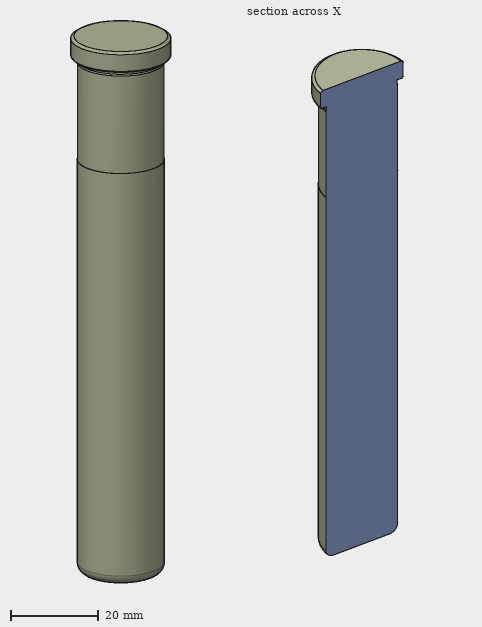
import cadquery as cq

total_length = 130.0
shank_diameter = 20.0
collar_diameter = 19.9
collar_bottom = 100.1
head_diameter = 23.0
head_height = 5.0
head_top_chamfer_height = 0.5
head_top_chamfer_inset = 0.8
head_bottom_chamfer = 0.4
neck_diameter = 19.6
neck_height = 0.9
neck_taper_height = 0.4
bottom_round = 2.3

head_bottom = total_length - head_height
collar_top = head_bottom - neck_height


def cylinder(diameter, bottom, top):
    """Round bar on the Z axis between two heights."""
    return cq.Workplane("XY").workplane(offset=bottom).circle(diameter / 2).extrude(top - bottom)


def make_shank():
    """Long cylinder with a rounded lower end."""
    return cylinder(shank_diameter, 0, collar_bottom).faces("<Z").edges().fillet(bottom_round)


def make_collar():
    """Upper stretch of the pin, tapering in to the neck at its top."""
    taper_inset = (collar_diameter - neck_diameter) / 2
    return (
        cylinder(collar_diameter, collar_bottom, collar_top)
        .faces(">Z")
        .edges()
        .chamfer(neck_taper_height, taper_inset)
    )


def make_neck():
    """Slightly narrower relief directly under the head."""
    return cylinder(neck_diameter, collar_top, head_bottom)


def make_head():
    """Flat round head with both rims chamfered."""
    return (
        cylinder(head_diameter, head_bottom, total_length)
        .faces(">Z")
        .edges()
        .chamfer(head_top_chamfer_height, head_top_chamfer_inset)
        .faces("<Z")
        .edges()
        .chamfer(head_bottom_chamfer)
    )


result = make_shank().union(make_collar()).union(make_neck()).union(make_head())